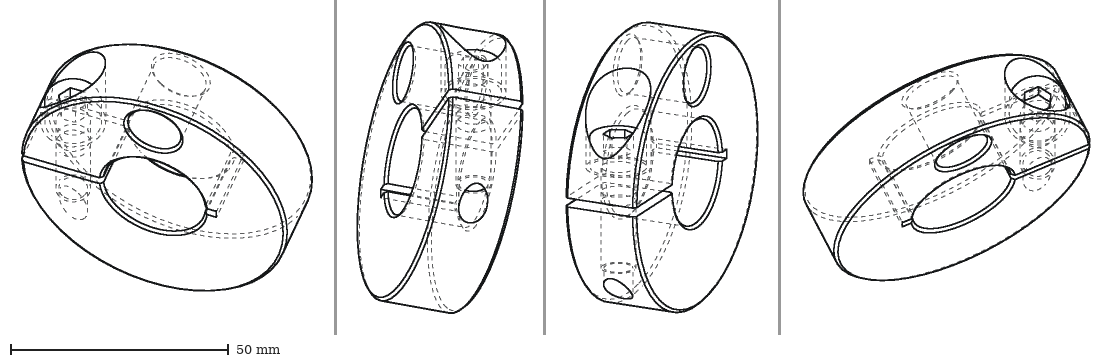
import cadquery as cq
import math

RING_RADIUS = 32.5
RING_WIDTH = 18.0
BORE_RADIUS = 12.5
EDGE_CHAMFER = 0.7

WINDOW_RADIUS = 6.5
WINDOW_HEIGHT = 23.5

SLIT_WIDTH = 2.15
SLIT_END_X = 15.4

SCREW_X = -23.0
SHANK_DIAMETER = 8.0
SHANK_RADIUS = SHANK_DIAMETER / 2
HEAD_RADIUS = 6.5
HEAD_HEIGHT = SHANK_DIAMETER
HEAD_TOP_Z = 15.0
HEAD_FILLET = 0.8
SHANK_END_Z = -17.35
HEAD_SEAT_Z = HEAD_TOP_Z - HEAD_HEIGHT

SOCKET_FLATS = 6.0
SOCKET_DEPTH = 4.0
SOCKET_CORNER_RADIUS = SOCKET_FLATS / 2 / math.cos(math.pi / 6)
SOCKET_CONE_DEPTH = SOCKET_CORNER_RADIUS * math.tan(math.pi / 6)

COUNTERBORE_RADIUS = 7.5
CORE_HOLE_RADIUS = 3.3


def rod_y(radius, height=0.0):
    """Cylinder along Y across the ring width, with its axis at the given Z."""
    back_face = cq.Workplane("XZ", origin=(0, RING_WIDTH / 2, height))
    return back_face.circle(radius).extrude(RING_WIDTH)


def rod_z(radius, bottom, top):
    """Cylinder on the screw axis between two Z levels."""
    return cq.Workplane("XY", origin=(SCREW_X, 0, bottom)).circle(radius).extrude(top - bottom)


def make_ring():
    """Split ring with chamfered edges and the stepped screw hole."""
    ring = rod_y(RING_RADIUS).cut(rod_y(BORE_RADIUS)).cut(rod_y(WINDOW_RADIUS, WINDOW_HEIGHT))
    ring = ring.faces("<Y or >Y").edges().chamfer(EDGE_CHAMFER)

    slit_length = RING_RADIUS + SLIT_END_X
    slit_center_x = (SLIT_END_X - RING_RADIUS) / 2
    slit = cq.Workplane("XY").box(slit_length, RING_WIDTH, SLIT_WIDTH).translate((slit_center_x, 0, 0))

    counterbore = rod_z(COUNTERBORE_RADIUS, HEAD_SEAT_Z, RING_RADIUS)
    shank_hole = rod_z(SHANK_RADIUS, SHANK_END_Z, HEAD_SEAT_Z)
    core_hole = rod_z(CORE_HOLE_RADIUS, -RING_RADIUS, SHANK_END_Z)
    return ring.cut(slit).cut(counterbore).cut(shank_hole).cut(core_hole)


def make_socket():
    """Hexagonal recess, corners along X, running out into a cone."""
    floor_z = HEAD_TOP_Z - SOCKET_DEPTH
    tip_z = floor_z - SOCKET_CONE_DEPTH
    hexagon = (
        cq.Workplane("XY", origin=(SCREW_X, 0, tip_z))
        .polygon(6, 2 * SOCKET_CORNER_RADIUS)
        .extrude(HEAD_TOP_Z - tip_z)
    )
    drill = (
        cq.Workplane("XZ", origin=(SCREW_X, 0, 0))
        .moveTo(0, tip_z)
        .lineTo(SOCKET_CORNER_RADIUS, floor_z)
        .lineTo(SOCKET_CORNER_RADIUS, HEAD_TOP_Z)
        .lineTo(0, HEAD_TOP_Z)
        .close()
        .revolve(360, (0, 0), (0, 1))
    )
    return hexagon.intersect(drill)


def make_screw():
    """Socket head cap screw."""
    head = rod_z(HEAD_RADIUS, HEAD_SEAT_Z, HEAD_TOP_Z).faces(">Z").edges().fillet(HEAD_FILLET)
    shank = rod_z(SHANK_RADIUS, SHANK_END_Z, HEAD_SEAT_Z)
    return head.union(shank).cut(make_socket())


ring = make_ring()
screw = make_screw()

result = cq.Compound.makeCompound([ring.val(), screw.val()])